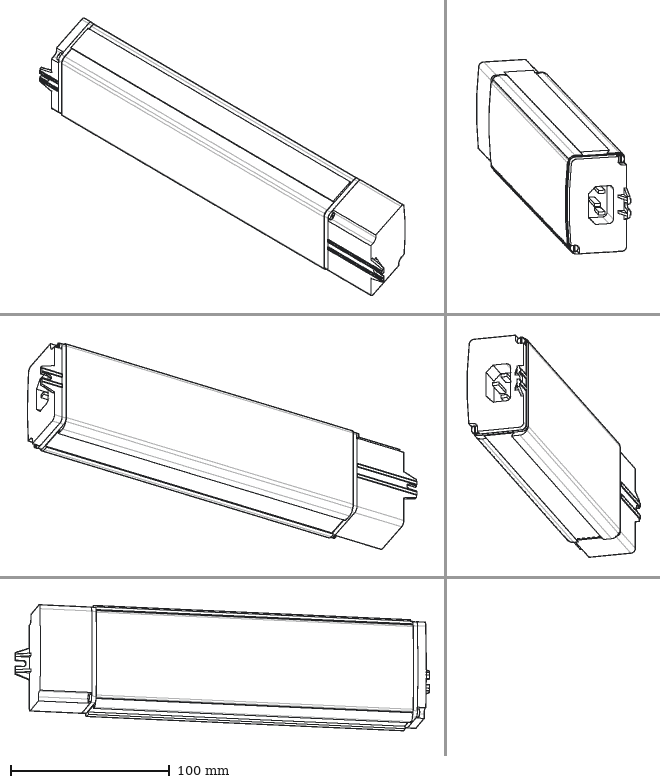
import cadquery as cq
import math

TOTAL_LENGTH = 265.5
TOTAL_DEPTH = 38.45
TOTAL_HEIGHT = 66.45

TAB_LENGTH = 9.0
INLET_CAP_LENGTH = 5.4
CABLE_CAP_LENGTH = 33.2
GASKET_LENGTH = 2.8

FRONT_Y = -TOTAL_DEPTH / 2
BACK_Y = TOTAL_DEPTH / 2
TOP_Z = TOTAL_HEIGHT / 2
BOTTOM_Z = -TOTAL_HEIGHT / 2
RAIL_HEIGHT = 1.9
SLEEVE_TOP_Z = TOP_Z - RAIL_HEIGHT
FRONT_CORNER_SIZE = 3.5
CREASE_DEPTH = 1.0
CREASE_HEIGHT = 2.4
FOOT_CORNER_SIZE = 5.5
TOP_BACK_CORNER_Y = 12.9
LIP_Y = 16.7
LIP_Z = 28.8
SEAM_Y = 16.1
SEAM_Z = 28.3
SHOULDER_Y = 16.9
SHOULDER_Z = 27.9
BACK_BULGE = 1.4
BACK_HALF_HEIGHT = 26.8

RAIL_TOP_WIDTH = 18.8
RAIL_BASE_WIDTH = 15.8
DOVETAIL_CLEARANCE = 0.3

CAP_STEP = 0.6
CAP_FRONT_Y = FRONT_Y + CAP_STEP
CAP_BACK_Y = BACK_Y - CAP_STEP
CAP_HALF_HEIGHT = 30.9
CAP_FRONT_RADIUS = 3.0
CAP_BACK_RADIUS = 3.3
CAP_BULGE = 1.4
GASKET_INSET = 0.1

NOTCH_HEIGHT = 5.7
NOTCH_DEPTH = 5.4
NOTCH_FILLET = 3.0
SCREW_RADIUS = 2.5
SCREW_INSET = 2.8
SCREW_HEAD_HEIGHT = 1.5
SCREW_DOME_HEIGHT = 0.4
SCREW_SLOT_WIDTH = 0.7
SCREW_SLOT_DEPTH = 0.6

TAB_TOP_Y = -17.0
TAB_ROOT_HALF_WIDTH = 10.2
TAB_TIP_HALF_WIDTH = 6.9
TAB_SLOT_WIDTH = 3.8
TAB_SLOT_DEPTH = 6.8
STRIP_WIDTH = 2.4
STRIP_CENTER_Z = 4.0
RIB_THICKNESS = 1.7
RIB_CENTER_Z = 5.1
RIB_ROOT_Y = -13.0

INLET_CENTER_Y = -2.0
INLET_WIDTH = 16.0
INLET_HEIGHT = 24.7
INLET_CHAMFER = 4.5
INLET_CORNER_RADIUS = 2.8
INLET_DEPTH = 17.0
PIN_DEPTH = 4.0
PIN_THICKNESS = 2.0
PINS = [((0, 0), 1.0), ((-4, 7), 6.0), ((-4, -7), 6.0)]

LEFT_CAP_X = -TOTAL_LENGTH / 2 + TAB_LENGTH
LEFT_GASKET_X = LEFT_CAP_X + INLET_CAP_LENGTH
SLEEVE_START_X = LEFT_GASKET_X + GASKET_LENGTH
RIGHT_CAP_X = TOTAL_LENGTH / 2 - TAB_LENGTH
RIGHT_GASKET_X = RIGHT_CAP_X - CABLE_CAP_LENGTH
SLEEVE_END_X = RIGHT_GASKET_X - GASKET_LENGTH

DIAGONAL = math.sqrt(0.5)


def box(x_range, y_range, z_range):
    """Axis-aligned box from three (low, high) ranges."""
    size = [high - low for low, high in (x_range, y_range, z_range)]
    return cq.Workplane("XY").box(*size, centered=False).translate((x_range[0], y_range[0], z_range[0]))


def section(x):
    """Cross-section plane at x: local axes are Y and Z, extrusion goes toward +X."""
    return cq.Workplane("YZ", origin=(x, 0, 0))


def make_dovetail(x_start, x_end, base_z, widening):
    """Dovetail bar, wider at its top, used as the rail and to cut the slot."""
    base = RAIL_BASE_WIDTH / 2 + widening
    top = RAIL_TOP_WIDTH / 2 + widening
    tip_z = base_z + RAIL_HEIGHT
    outline = [(-base, base_z), (base, base_z), (top, tip_z), (-top, tip_z)]
    return section(x_start).polyline(outline).close().extrude(x_end - x_start)


def make_sleeve():
    """Centre section with bowed rear wall, seam grooves, top rail and bottom slot."""
    corner_top_z = SLEEVE_TOP_Z - FRONT_CORNER_SIZE
    corner_low_z = -corner_top_z
    crease_y = FRONT_Y + CREASE_DEPTH
    low_crease = (crease_y, corner_low_z - CREASE_HEIGHT)
    low_mid_angle = math.radians(22.5)
    low_mid = (
        FRONT_Y + FRONT_CORNER_SIZE * (1 - math.cos(low_mid_angle)),
        corner_low_z - FRONT_CORNER_SIZE * math.sin(low_mid_angle),
    )
    back_edge_y = BACK_Y - BACK_BULGE
    back_foot_y = LIP_Y - FOOT_CORNER_SIZE
    foot_center_z = BOTTOM_Z + FOOT_CORNER_SIZE
    foot_mid = (
        back_foot_y + FOOT_CORNER_SIZE * DIAGONAL,
        foot_center_z - FOOT_CORNER_SIZE * DIAGONAL,
    )
    body = (
        section(SLEEVE_START_X)
        .moveTo(FRONT_Y, corner_low_z)
        .lineTo(FRONT_Y, corner_top_z)
        .tangentArcPoint((crease_y, corner_top_z + CREASE_HEIGHT), relative=False)
        .tangentArcPoint((FRONT_Y + FRONT_CORNER_SIZE, SLEEVE_TOP_Z), relative=False)
        .lineTo(TOP_BACK_CORNER_Y, SLEEVE_TOP_Z)
        .tangentArcPoint((LIP_Y, LIP_Z), relative=False)
        .lineTo(SEAM_Y, SEAM_Z)
        .lineTo(SHOULDER_Y, SHOULDER_Z)
        .tangentArcPoint((back_edge_y, BACK_HALF_HEIGHT), relative=False)
        .threePointArc((BACK_Y, 0), (back_edge_y, -BACK_HALF_HEIGHT))
        .tangentArcPoint((SHOULDER_Y, -SHOULDER_Z), relative=False)
        .lineTo(SEAM_Y, -SEAM_Z)
        .lineTo(LIP_Y, -LIP_Z)
        .threePointArc(foot_mid, (back_foot_y, BOTTOM_Z))
        .lineTo(FRONT_Y + FOOT_CORNER_SIZE, BOTTOM_Z)
        .tangentArcPoint(low_crease, relative=False)
        .threePointArc(low_mid, (FRONT_Y, corner_low_z))
        .close()
        .extrude(SLEEVE_END_X - SLEEVE_START_X)
    )
    rail = make_dovetail(SLEEVE_START_X, SLEEVE_END_X, SLEEVE_TOP_Z, 0)
    slot = make_dovetail(SLEEVE_START_X, SLEEVE_END_X, BOTTOM_Z, DOVETAIL_CLEARANCE)
    return body.union(rail).cut(slot)


def make_cap_block(x_start, length, inset):
    """Plain prism with the cap outline, shrunk by inset on every side."""
    half_height = CAP_HALF_HEIGHT - inset
    front_y = CAP_FRONT_Y + inset
    back_y = CAP_BACK_Y - inset
    edge_y = back_y - CAP_BULGE
    edge_z = half_height - CAP_BACK_RADIUS
    return (
        section(x_start)
        .moveTo(front_y, -half_height)
        .lineTo(front_y, half_height)
        .lineTo(edge_y - CAP_BACK_RADIUS, half_height)
        .tangentArcPoint((edge_y, edge_z), relative=False)
        .threePointArc((back_y, 0), (edge_y, -edge_z))
        .tangentArcPoint((edge_y - CAP_BACK_RADIUS, -half_height), relative=False)
        .close()
        .extrude(length)
        .edges("|X and <Y")
        .fillet(CAP_FRONT_RADIUS)
    )


def opposite_corner(shape):
    """Half turn about the cap axis, taking the front top corner to the rear bottom corner."""
    axis_y = -CAP_BULGE / 2
    return shape.rotate((0, axis_y, 0), (1, axis_y, 0), 180)


def make_corner_notch(length):
    """Cutter for the front top screw notch, running the whole length of a cap."""
    y_range = (FRONT_Y - CAP_BULGE, CAP_FRONT_Y + NOTCH_DEPTH)
    z_range = (CAP_HALF_HEIGHT - NOTCH_HEIGHT, TOP_Z)
    return box((0, length), y_range, z_range).edges("|X and >Y and <Z").fillet(NOTCH_FILLET)


def make_screw(floor_x):
    """Domed, slotted screw head standing on the floor of the front top notch."""
    center_y = CAP_FRONT_Y + SCREW_INSET
    center_z = CAP_HALF_HEIGHT - SCREW_INSET
    height = SCREW_HEAD_HEIGHT + SCREW_DOME_HEIGHT
    sphere_radius = (SCREW_RADIUS**2 + SCREW_DOME_HEIGHT**2) / (2 * SCREW_DOME_HEIGHT)
    head = section(floor_x - height).center(center_y, center_z).circle(SCREW_RADIUS).extrude(height)
    crown = cq.Workplane("XY").sphere(sphere_radius)
    head = head.intersect(crown.translate((floor_x - height + sphere_radius, center_y, center_z)))
    slot = (
        section(floor_x - height)
        .center(center_y, center_z)
        .rect(SCREW_SLOT_WIDTH, 2 * SCREW_RADIUS)
        .extrude(SCREW_SLOT_DEPTH)
    )
    return head.cut(slot)


def make_tab(cap_length):
    """Slotted mounting tab with ribs behind it and raised strips running on along the cap front."""
    slot_radius = TAB_SLOT_WIDTH / 2
    plate = (
        cq.Workplane("XZ", origin=(0, TAB_TOP_Y, 0))
        .moveTo(-TAB_LENGTH, -TAB_TIP_HALF_WIDTH)
        .lineTo(0, -TAB_ROOT_HALF_WIDTH)
        .lineTo(0, TAB_ROOT_HALF_WIDTH)
        .lineTo(-TAB_LENGTH, TAB_TIP_HALF_WIDTH)
        .lineTo(-TAB_LENGTH, slot_radius)
        .lineTo(-TAB_LENGTH + TAB_SLOT_DEPTH - slot_radius, slot_radius)
        .threePointArc(
            (-TAB_LENGTH + TAB_SLOT_DEPTH, 0),
            (-TAB_LENGTH + TAB_SLOT_DEPTH - slot_radius, -slot_radius),
        )
        .lineTo(-TAB_LENGTH, -slot_radius)
        .close()
        .extrude(TAB_TOP_Y - CAP_FRONT_Y)
    )
    rib_outline = [(-TAB_LENGTH, TAB_TOP_Y), (0, TAB_TOP_Y), (0, RIB_ROOT_Y)]
    for side in (-1, 1):
        rib = (
            cq.Workplane("XY", origin=(0, 0, side * RIB_CENTER_Z - RIB_THICKNESS / 2))
            .polyline(rib_outline)
            .close()
            .extrude(RIB_THICKNESS)
        )
        strip_low_z = side * STRIP_CENTER_Z - STRIP_WIDTH / 2
        strip = box((-TAB_LENGTH, cap_length), (FRONT_Y, TAB_TOP_Y), (strip_low_z, strip_low_z + STRIP_WIDTH))
        plate = plate.union(rib).union(strip)
    return plate


def make_end(cap_length):
    """Cap, gasket, screws and tab of one end; outer face at X = 0, sleeve toward +X."""
    cap = make_cap_block(0, cap_length, 0)
    notch = make_corner_notch(cap_length)
    screw = make_screw(cap_length)
    gasket = make_cap_block(cap_length, GASKET_LENGTH, GASKET_INSET)
    end = cap.cut(notch)
    end = end.cut(opposite_corner(notch))
    end = end.union(gasket).union(make_tab(cap_length))
    return end.union(screw).union(opposite_corner(screw))


def make_inlet_recess():
    """Cutter for the appliance inlet, leaving its three contact pins standing."""
    recess = (
        section(LEFT_CAP_X)
        .center(INLET_CENTER_Y, 0)
        .rect(INLET_WIDTH, INLET_HEIGHT)
        .extrude(INLET_DEPTH)
        .edges("|X and >Y")
        .chamfer(INLET_CHAMFER)
        .edges("|X and <Y")
        .fillet(INLET_CORNER_RADIUS)
    )
    for center, tip_recess in PINS:
        pin = (
            section(LEFT_CAP_X + tip_recess)
            .center(*center)
            .rect(PIN_DEPTH, PIN_THICKNESS)
            .extrude(INLET_DEPTH - tip_recess)
        )
        recess = recess.cut(pin)
    return recess


inlet_end = make_end(INLET_CAP_LENGTH).translate((LEFT_CAP_X, 0, 0))
cable_end = make_end(CABLE_CAP_LENGTH).mirror("YZ").translate((RIGHT_CAP_X, 0, 0))
result = make_sleeve().union(inlet_end).union(cable_end).cut(make_inlet_recess())